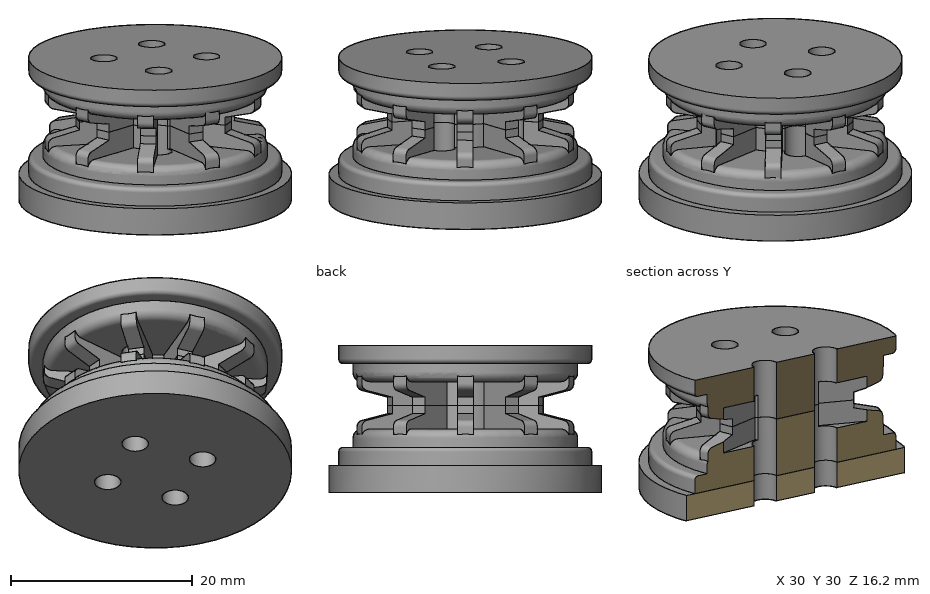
import cadquery as cq
import math

base_diameter = 30.0
base_height = 3.0

half_height = 6.6
flange_diameter = 27.85
flange_height = 2.0
flange_fillet = 0.5
cheek_diameter = 24.71
cheek_height = 2.0
cheek_fillet = 1.0
hub_diameter = 9.5
spool_top_z = base_height + 2 * half_height

rib_count = 10
first_rib_angle = -90.0
rib_width = 1.75
rib_outer_radius = 12.25
rib_inner_radius = 8.73
rib_slope_angle = 14.0
rib_fillet = 0.75
rib_floor_half_height = 0.91
rib_floor_z = half_height - rib_floor_half_height
rib_slope_drop = (rib_outer_radius - rib_inner_radius) * math.tan(math.radians(rib_slope_angle))
rib_shoulder_z = rib_floor_z - rib_slope_drop

hole_diameter = 2.9
hole_spacing = 8.0


def drill_bolt_holes(body, bottom_z, height):
    """Cut the square pattern of four vertical holes through a body."""
    drills = (
        cq.Workplane("XY", origin=(0, 0, bottom_z))
        .rarray(hole_spacing, hole_spacing, 2, 2)
        .circle(hole_diameter / 2)
        .extrude(height)
    )
    return body.cut(drills)


def make_base():
    """Plain disc under the spool."""
    disc = cq.Workplane("XY").circle(base_diameter / 2).extrude(base_height)
    return drill_bolt_holes(disc, 0, base_height)


def make_rib(angle):
    """One rib from the axis outward, with its groove side sloping in to the hub."""
    rib = (
        cq.Workplane("XZ")
        .moveTo(0, flange_height)
        .lineTo(rib_outer_radius, flange_height)
        .lineTo(rib_outer_radius, rib_shoulder_z)
        .lineTo(rib_inner_radius, rib_floor_z)
        .lineTo(rib_inner_radius, half_height)
        .lineTo(0, half_height)
        .close()
        .extrude(rib_width / 2, both=True)
    )
    shoulder = cq.selectors.NearestToPointSelector((rib_outer_radius, 0, rib_shoulder_z))
    rib = rib.edges("|Y").edges(shoulder).fillet(rib_fillet)
    return rib.rotate((0, 0, 0), (0, 0, 1), angle)


def make_spool_half():
    """Spool half with its flange on z = 0 and its groove side facing up."""
    flange = (
        cq.Workplane("XY")
        .circle(flange_diameter / 2)
        .extrude(flange_height)
        .faces(">Z").edges()
        .fillet(flange_fillet)
    )
    cheek = (
        cq.Workplane("XY", origin=(0, 0, flange_height))
        .circle(cheek_diameter / 2)
        .extrude(cheek_height)
        .faces(">Z").edges()
        .fillet(cheek_fillet)
    )
    hub = cq.Workplane("XY").circle(hub_diameter / 2).extrude(half_height)
    half = flange.union(cheek).union(hub)
    for index in range(rib_count):
        half = half.union(make_rib(first_rib_angle + index * 360.0 / rib_count))
    return drill_bolt_holes(half, 0, half_height)


base = make_base()
lower_half = make_spool_half().translate((0, 0, base_height))
upper_half = make_spool_half().mirror("XY").translate((0, 0, spool_top_z))

result = cq.Compound.makeCompound([base.val(), lower_half.val(), upper_half.val()])